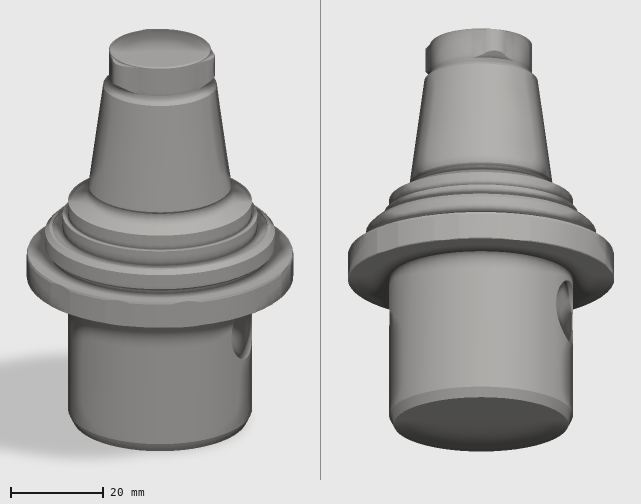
import cadquery as cq
import math

total_height = 87.0

shank_radius = 20.0
shank_end_radius = 19.0
shank_chamfer_height = 2.1

flange_radius = 29.0
flange_bottom = 33.1
flange_top = 39.15
flange_edge_inset = 0.2
flange_bottom_edge_height = 0.2
flange_top_edge_height = 0.5
flat_distance_x = 28.8
flat_distance_y = 28.84
flat_distance_angled = 28.8
flat_angle_from_y = 30.0

ring_radius = 50.0 / 2
ring_neck_radius = 48.1 / 2
ring_neck_top = 39.7
ring_core_radius = 23.4
ring_bottom = 40.2
ring_bottom_chamfer = 0.4
ring_top = 44.9
ring_recess_depth = 0.3
ring_shoulder_height = 43.9

step_radius = 42.4 / 2
step_top = 47.9
collar_top = 51.15
neck_radius = 15.2
neck_fillet_sag = 0.13
cone_top_radius = 16.0
cone_top = 53.25

taper_base_radius = 15.6
taper_bottom = 54.8
taper_undercut_height = 0.5
taper_tip_radius = 12.35
taper_top = 78.5
taper_tip_chamfer = 0.5

head_radius = 11.09
head_bottom = 80.3
head_neck_sag = 0.2
head_edge_chamfer = 0.3
lug_count = 3
lug_tip_radius = 12.35
lug_shoulder_radius = 11.7
lug_shoulder_angle = 12.5
lug_root_angle = 25.0
lug_top = total_height - 0.5
lug_bottom_chamfer = lug_tip_radius - head_radius

pocket_diameter = 14.0
pocket_height = 23.9
pocket_floor = 18.5


def polar_point(radius, angle):
    """Point at a radius and an angle in degrees from +X."""
    radians = math.radians(angle)
    return (radius * math.cos(radians), radius * math.sin(radians))


def make_body():
    """Turned body; each point of the outline is (radius, height)."""
    neck_bottom = taper_bottom - taper_undercut_height
    taper_edge_radius = taper_tip_radius - taper_tip_chamfer
    taper_edge_height = taper_top + taper_tip_chamfer
    lower_profile = [
        (shank_end_radius, 0),
        (shank_radius, shank_chamfer_height),
        (shank_radius, flange_bottom),
        (flange_radius - flange_edge_inset, flange_bottom),
        (flange_radius, flange_bottom + flange_bottom_edge_height),
        (flange_radius, flange_top - flange_top_edge_height),
        (flange_radius - flange_edge_inset, flange_top),
        (ring_neck_radius, flange_top),
        (ring_neck_radius, ring_neck_top),
        (ring_core_radius, ring_neck_top),
        (ring_core_radius, ring_bottom),
        (ring_radius - ring_bottom_chamfer, ring_bottom),
        (ring_radius, ring_bottom + ring_bottom_chamfer),
        (ring_radius, ring_shoulder_height),
        (ring_neck_radius, ring_top),
        (ring_core_radius, ring_top),
        (ring_core_radius, ring_top - ring_recess_depth),
        (step_radius, ring_top - ring_recess_depth),
        (step_radius, step_top),
        (shank_radius, step_top),
        (shank_radius, collar_top),
        (cone_top_radius, cone_top),
    ]
    neck_fillet_middle = (
        (cone_top_radius + neck_radius) / 2 - neck_fillet_sag,
        (cone_top + neck_bottom) / 2 - neck_fillet_sag,
    )
    head_neck_middle = (
        (taper_edge_radius + head_radius) / 2 - head_neck_sag,
        (taper_edge_height + head_bottom) / 2,
    )
    return (
        cq.Workplane("XZ")
        .polyline(lower_profile, includeCurrent=True)
        .threePointArc(neck_fillet_middle, (neck_radius, neck_bottom))
        .lineTo(taper_base_radius, taper_bottom)
        .lineTo(taper_tip_radius, taper_top)
        .lineTo(taper_edge_radius, taper_edge_height)
        .threePointArc(head_neck_middle, (head_radius, head_bottom))
        .lineTo(head_radius, total_height - head_edge_chamfer)
        .lineTo(head_radius - head_edge_chamfer, total_height)
        .lineTo(0, total_height)
        .close()
        .revolve(360, (0, 0), (0, 1))
    )


def make_flat_cutter(angle, distance):
    """Block lying outside a flange flat that faces the given angle."""
    depth = flange_radius
    height = flange_top - flange_bottom
    return (
        cq.Workplane("XY")
        .box(depth, flange_radius, height, centered=(False, True, False))
        .translate((distance, 0, flange_bottom))
        .rotate((0, 0, 0), (0, 0, 1), angle)
    )


def cut_flange_flats(body):
    for side_angle in (0, 180):
        body = body.cut(make_flat_cutter(side_angle, flat_distance_x))
    for side_angle in (90, 270):
        body = body.cut(make_flat_cutter(side_angle, flat_distance_y))
        for offset in (-flat_angle_from_y, flat_angle_from_y):
            body = body.cut(make_flat_cutter(side_angle + offset, flat_distance_angled))
    return body


def make_lug():
    """Lug facing +X: sloping flanks, a rounded tip and a bevelled underside."""
    outline = (
        cq.Workplane("XY")
        .workplane(offset=head_bottom)
        .lineTo(*polar_point(head_radius, -lug_root_angle))
        .lineTo(*polar_point(lug_shoulder_radius, -lug_shoulder_angle))
        .threePointArc((lug_tip_radius, 0), polar_point(lug_shoulder_radius, lug_shoulder_angle))
        .lineTo(*polar_point(head_radius, lug_root_angle))
        .close()
        .extrude(lug_top - head_bottom)
    )
    envelope_profile = [
        (0, head_bottom),
        (head_radius, head_bottom),
        (lug_tip_radius, head_bottom + lug_bottom_chamfer),
        (lug_tip_radius, lug_top),
        (0, lug_top),
    ]
    envelope = cq.Workplane("XZ").polyline(envelope_profile).close().revolve(360, (0, 0), (0, 1))
    return outline.intersect(envelope)


def add_lugs(body):
    lug = make_lug()
    for index in range(lug_count):
        body = body.union(lug.rotate((0, 0, 0), (0, 0, 1), index * 360 / lug_count))
    return body


def cut_side_pockets(body):
    for side in (-1, 1):
        pocket = (
            cq.Workplane("YZ")
            .workplane(offset=side * pocket_floor)
            .center(0, pocket_height)
            .circle(pocket_diameter / 2)
            .extrude(side * shank_radius)
        )
        body = body.cut(pocket)
    return body


result = make_body()
result = cut_flange_flats(result)
result = add_lugs(result)
result = cut_side_pockets(result)